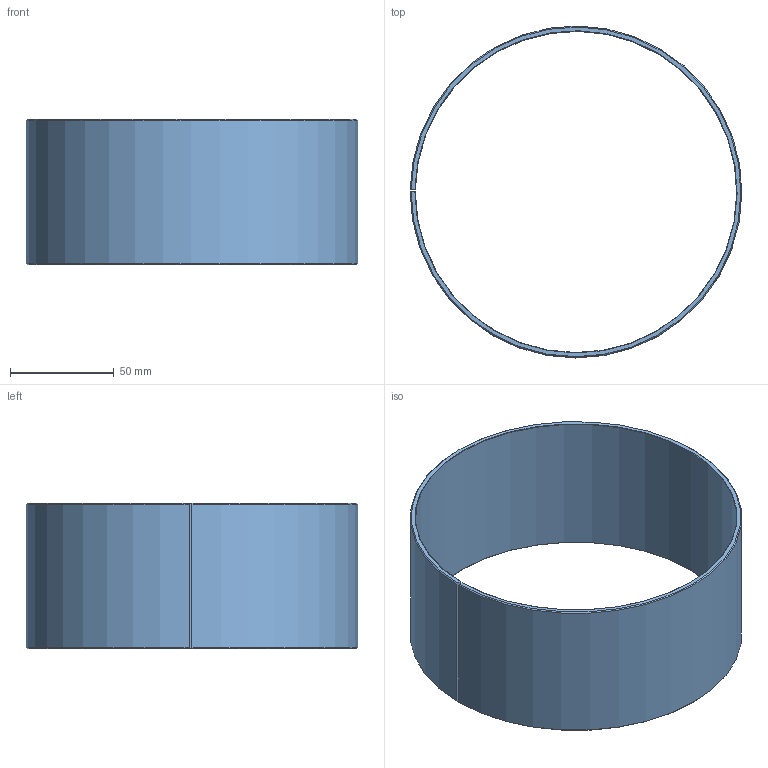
import cadquery as cq

outer_diameter = 160.0
wall = 2.5
height = 70.0
outer_chamfer = 0.5
inner_chamfer = 0.2
split_angle = 1.0

outer_radius = outer_diameter / 2
inner_radius = outer_radius - wall
rim_outer_radius = outer_radius - outer_chamfer
rim_inner_radius = inner_radius + inner_chamfer
sweep_angle = 360.0 - split_angle


def make_wall_section():
    """Wall section in the XZ plane at the -X side, with all four corners chamfered."""
    return (
        cq.Workplane("XZ")
        .moveTo(-inner_radius, inner_chamfer)
        .lineTo(-rim_inner_radius, 0)
        .lineTo(-rim_outer_radius, 0)
        .lineTo(-outer_radius, outer_chamfer)
        .lineTo(-outer_radius, height - outer_chamfer)
        .lineTo(-rim_outer_radius, height)
        .lineTo(-rim_inner_radius, height)
        .lineTo(-inner_radius, height - inner_chamfer)
        .close()
    )


def make_split_sleeve():
    """Revolve the section counterclockwise about Z, stopping short to leave the split just +Y of -X."""
    return make_wall_section().revolve(sweep_angle, (0, 0, 0), (0, 1, 0))


result = make_split_sleeve()